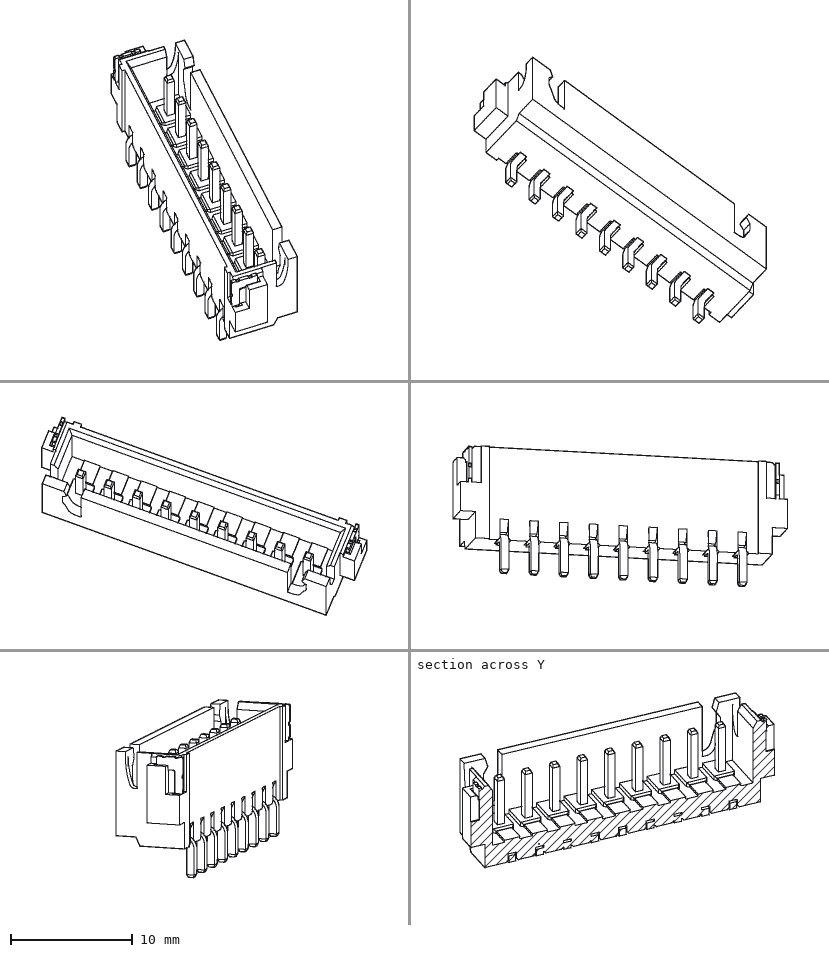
import cadquery as cq


LENGTH = 27.5
HALF_LENGTH = LENGTH / 2
TOTAL_HEIGHT = 10.6
HEIGHT = 7.8
DEPTH = 6.0

HALF_BODY = 12.48
BODY_FRONT = 0.25
FRONT_INNER = 1.0
BACK_INNER = 5.17
HALF_CAVITY = 11.8
FLOOR_Z = 2.0
RIM_SIDE = 0.35
RIM_FRONT = 0.3
RIM_DEPTH = 0.58
BACK_UNDERSIDE_Z = 0.75
UNDERSIDE_SLOPE_START = 3.9
UNDERSIDE_SLOPE_END = 4.25
END_PLATE_INNER_X = 11.33

PAD_WIDTH = 1.87
PAD_FRONT = 2.92
PAD_HEIGHT = 0.38
RIB_WIDTH = 1.4
PAD_CORNER_CHAMFER = 0.2
PAD_EDGE_CHAMFER = 0.16
RIB_HEIGHT = 0.2

EAR_BOTTOM = 2.23
EAR_TOP = 7.05
EAR_BACK = 2.83
EAR_STEP_Y = 1.25
EAR_STEP_Z = 4.7
BLOCK_X = 12.75
BLOCK_CHAMFER = 0.25
PLATE_RECESS_X = 12.0

TAB_INNER_X = 12.8
TAB_OUTER_X = 13.05
TAB_BACK = 2.25
TAB_TOP = 7.73
TAB_LEG = 0.72
TAB_WINDOW_DEPTH = 0.08
TAB_WINDOW_TOP = 6.63
TAB_WINDOW_RADIUS = 0.16
TAB_PROUD = 0.05
TAB_BEVEL = 0.08
TAB_LIP_BOTTOM = 5.0
TAB_DENT_MOUTH = 0.33
TAB_DENT_FLOOR = 0.16
TAB_DENT_DEPTH = 0.08
TAB_TOP_DENTS = (0.52, 1.62)
TAB_FRONT_DENT_Z = 6.13
LEAD_IN = 0.16

PIN_COUNT = 9
PITCH = 2.5
PIN = 0.65
POST_Y = 3.65
POST_TOP = 6.8
TAIL_BOTTOM = HEIGHT - TOTAL_HEIGHT
TIP_INSET = 0.1
TIP_LENGTH = 0.25
PIN_PROUD = 0.05
LEG_BACK = 1.85
BEND_OUTER_RADIUS = 1.02
BEND_INNER_RADIUS = 0.16

NOTCH_WIDTH = 0.72
NOTCH_TOP = 1.75
NOTCH_ROOF = 0.77
NOTCH_ROOF_RUN = 0.5
NOTCH_BACK = 1.57
NOTCH_FLARE = 0.2

END_SLOT_FRONT = 4.15
END_SLOT_BOTTOM = 4.78
END_SLOT_CURVE_TOP = 7.32
END_SLOT_CORNER = (4.78, 5.1)
END_SLOT_CORNER_MIDDLE = (4.6, 4.87)
END_SLOT_FLAT_BACK = 4.32

LATCH_INNER_X = 9.08
LATCH_BOTTOM = 3.02
LATCH_FLAT_OUTER_X = 9.4
LATCH_POST_X = 10.6
LATCH_HOOK_X = 10.35
LATCH_HOOK_Z = 6.95
LATCH_NECK_X = 10.72
LATCH_NECK_TOP = 6.35
LATCH_NECK_BOTTOM = 5.42
LATCH_NECK_CURVE_MIDDLE = (-10.67, 5.03)
LATCH_ROOT_TOP = (-10.5, 4.68)
LATCH_ROOT_BOTTOM = (-10.23, 3.75)


def box(x0, x1, y0, y1, z0, z1):
    """Box between two opposite corners."""
    return cq.Workplane("XY").box(x1 - x0, y1 - y0, z1 - z0, centered=False).translate((x0, y0, z0))


def both_ends(shape):
    """The -X shape together with its mirror image at the +X end."""
    return shape.union(shape.mirror("YZ"))


def make_housing():
    """Open-topped shroud with a stepped underside and a chamfered rim."""
    shell = (
        cq.Workplane("YZ", origin=(-HALF_BODY, 0, 0))
        .moveTo(BODY_FRONT, 0)
        .lineTo(UNDERSIDE_SLOPE_START, 0)
        .lineTo(UNDERSIDE_SLOPE_END, BACK_UNDERSIDE_Z)
        .lineTo(DEPTH, BACK_UNDERSIDE_Z)
        .lineTo(DEPTH, HEIGHT)
        .lineTo(BODY_FRONT, HEIGHT)
        .close()
        .extrude(2 * HALF_BODY)
    )
    cavity = box(-HALF_CAVITY, HALF_CAVITY, FRONT_INNER, BACK_INNER, FLOOR_Z, HEIGHT)
    cavity_length = BACK_INNER - FRONT_INNER
    rim = (
        cq.Workplane("XY", origin=(0, BACK_INNER, HEIGHT))
        .rect(2 * (HALF_CAVITY + RIM_SIDE), 2 * (cavity_length + RIM_FRONT))
        .workplane(offset=-RIM_DEPTH)
        .rect(2 * HALF_CAVITY, 2 * cavity_length)
        .loft(ruled=True)
        .intersect(box(-HALF_BODY, HALF_BODY, 0, BACK_INNER, 0, HEIGHT))
    )
    return shell.cut(cavity).cut(rim)


def make_floor_pad(x):
    """Raised pad around one pin, with a narrower rib running to the front wall."""
    half_pad = PAD_WIDTH / 2
    half_rib = RIB_WIDTH / 2
    front = PAD_FRONT - PAD_CORNER_CHAMFER
    pad = (
        box(x - half_pad, x + half_pad, front, BACK_INNER, FLOOR_Z, FLOOR_Z + PAD_HEIGHT)
        .edges("|Z and <Y")
        .chamfer(PAD_CORNER_CHAMFER)
        .faces(">Z")
        .edges("<Y")
        .chamfer(PAD_EDGE_CHAMFER)
    )
    rib = box(x - half_rib, x + half_rib, FRONT_INNER, PAD_FRONT, FLOOR_Z, FLOOR_Z + RIB_HEIGHT)
    return pad.union(rib)


def make_end_slot():
    """Slot through an end wall, beside the back wall, with a curved lower corner."""
    return (
        cq.Workplane("YZ", origin=(-HALF_BODY, 0, 0))
        .moveTo(END_SLOT_FRONT, HEIGHT)
        .lineTo(BACK_INNER, HEIGHT)
        .lineTo(BACK_INNER, END_SLOT_CURVE_TOP)
        .tangentArcPoint(END_SLOT_CORNER, relative=False)
        .threePointArc(END_SLOT_CORNER_MIDDLE, (END_SLOT_FLAT_BACK, END_SLOT_BOTTOM))
        .lineTo(END_SLOT_FRONT, END_SLOT_BOTTOM)
        .close()
        .extrude(HALF_BODY - HALF_CAVITY)
    )


def make_latch_slot():
    """Slot through the back wall that leaves a hooked post at the end."""
    return (
        cq.Workplane("XZ", origin=(0, DEPTH, 0))
        .moveTo(-LATCH_INNER_X, HEIGHT)
        .lineTo(-LATCH_INNER_X, LATCH_BOTTOM)
        .lineTo(-LATCH_FLAT_OUTER_X, LATCH_BOTTOM)
        .tangentArcPoint(LATCH_ROOT_BOTTOM, relative=False)
        .lineTo(*LATCH_ROOT_TOP)
        .threePointArc(LATCH_NECK_CURVE_MIDDLE, (-LATCH_NECK_X, LATCH_NECK_BOTTOM))
        .lineTo(-LATCH_NECK_X, LATCH_NECK_TOP)
        .lineTo(-LATCH_HOOK_X, LATCH_HOOK_Z)
        .lineTo(-LATCH_POST_X, HEIGHT)
        .close()
        .extrude(DEPTH - BACK_INNER)
    )


def make_lead_in(y_front, y_back, z_top):
    """Sloped mouth around the outer and rear sides of the tab where it enters the ear."""
    width = TAB_OUTER_X - TAB_INNER_X
    length = y_back - y_front
    return (
        cq.Workplane("XY", origin=(-TAB_INNER_X, y_front, z_top))
        .rect(-width - LEAD_IN, length + LEAD_IN, centered=False)
        .workplane(offset=-LEAD_IN)
        .rect(-width, length, centered=False)
        .loft(ruled=True)
    )


def make_end_plate_and_ear():
    """Thicker front plate, stepped ear and chamfered block at one end."""
    plate = box(-HALF_BODY, -END_PLATE_INNER_X, 0, BODY_FRONT, 0, HEIGHT)
    ear = box(-HALF_LENGTH, -HALF_BODY, 0, EAR_BACK, EAR_BOTTOM, EAR_TOP)
    ear_step = box(-HALF_LENGTH, -BLOCK_X, 0, EAR_STEP_Y, EAR_STEP_Z, EAR_TOP)
    plate_recess = box(-HALF_LENGTH, -PLATE_RECESS_X, 0, BODY_FRONT, EAR_STEP_Z, HEIGHT)
    block = (
        box(-BLOCK_X, -HALF_BODY, BODY_FRONT, EAR_BACK, EAR_BOTTOM, HEIGHT)
        .faces(">Z")
        .edges("<X")
        .chamfer(BLOCK_CHAMFER)
    )
    solid = plate.union(ear).cut(ear_step).cut(plate_recess)
    solid = solid.cut(make_lead_in(EAR_STEP_Y, TAB_BACK, EAR_TOP))
    solid = solid.cut(make_lead_in(BODY_FRONT, TAB_LEG - TAB_PROUD, EAR_STEP_Z))
    return solid.union(block)


def make_tab_dent():
    """Tapered dent across the tab thickness, centred on Y=0 and opening upward at Z=0."""
    return (
        cq.Workplane("YZ", origin=(-TAB_OUTER_X, 0, 0))
        .moveTo(-TAB_DENT_MOUTH / 2, 0)
        .lineTo(TAB_DENT_MOUTH / 2, 0)
        .lineTo(TAB_DENT_FLOOR / 2, -TAB_DENT_DEPTH)
        .lineTo(-TAB_DENT_FLOOR / 2, -TAB_DENT_DEPTH)
        .close()
        .extrude(TAB_OUTER_X - TAB_INNER_X)
    )


def make_tab():
    """Sheet-metal tab: one leg on the ear step, the rear sunk in the ear, dents along its edges."""
    tab = (
        box(-TAB_OUTER_X, -TAB_INNER_X, -TAB_PROUD, TAB_BACK, EAR_STEP_Z, TAB_TOP)
        .faces(">Z")
        .edges("|X")
        .chamfer(TAB_BEVEL)
    )
    window_floor_x = TAB_WINDOW_DEPTH - TAB_OUTER_X
    window = (
        box(-TAB_OUTER_X, window_floor_x, TAB_LEG - TAB_PROUD, EAR_STEP_Y, EAR_STEP_Z, TAB_WINDOW_TOP)
        .edges("|X and >Z and <Y")
        .fillet(TAB_WINDOW_RADIUS)
    )
    below_lip = box(-TAB_OUTER_X, -TAB_INNER_X, -TAB_PROUD, 0, EAR_STEP_Z, TAB_LIP_BOTTOM)
    tab = tab.cut(window).cut(below_lip)
    for dent_y in TAB_TOP_DENTS:
        tab = tab.cut(make_tab_dent().translate((0, dent_y, TAB_TOP)))
    front_dent = make_tab_dent().rotate((0, 0, 0), (1, 0, 0), 90)
    return tab.cut(front_dent.translate((0, -TAB_PROUD, TAB_FRONT_DENT_Z)))


def make_pin_notch(x):
    """Notch in the front wall around one pin: sloped roof and flared lower mouth."""
    notch = (
        cq.Workplane("YZ", origin=(x - NOTCH_WIDTH / 2, 0, 0))
        .moveTo(BODY_FRONT, 0)
        .lineTo(BODY_FRONT, NOTCH_TOP)
        .lineTo(BODY_FRONT + NOTCH_ROOF_RUN, NOTCH_ROOF)
        .lineTo(NOTCH_BACK, NOTCH_ROOF)
        .lineTo(NOTCH_BACK, 0)
        .close()
        .extrude(NOTCH_WIDTH)
    )
    half_width = NOTCH_WIDTH / 2
    flare = (
        cq.Workplane("XZ", origin=(x, NOTCH_BACK, 0))
        .moveTo(-half_width - NOTCH_FLARE, 0)
        .lineTo(-half_width, NOTCH_FLARE)
        .lineTo(half_width, NOTCH_FLARE)
        .lineTo(half_width + NOTCH_FLARE, 0)
        .close()
        .extrude(NOTCH_BACK - BODY_FRONT)
    )
    return notch.union(flare)


def make_tip(x, y, z_base, direction):
    """Tapered square tip pointing up (direction 1) or down (direction -1)."""
    return (
        cq.Workplane("XY", origin=(x, y, z_base))
        .rect(PIN, PIN)
        .workplane(offset=direction * TIP_LENGTH)
        .rect(PIN - 2 * TIP_INSET, PIN - 2 * TIP_INSET)
        .loft(ruled=True)
    )


def make_pin(x):
    """Contact post in the cavity and the bent solder tail leaving through the front wall."""
    post_shoulder = POST_TOP - TIP_LENGTH
    tail_shoulder = TAIL_BOTTOM + TIP_LENGTH
    post = box(
        x - PIN / 2, x + PIN / 2,
        POST_Y - PIN / 2, POST_Y + PIN / 2,
        FLOOR_Z - PIN, post_shoulder,
    )
    front = -PIN_PROUD
    leg_bottom = -PIN_PROUD
    leg_top = leg_bottom + PIN
    tail_back = front + PIN
    tail = (
        cq.Workplane("YZ", origin=(x - PIN / 2, 0, 0))
        .moveTo(front, tail_shoulder)
        .lineTo(front, leg_top - BEND_OUTER_RADIUS)
        .radiusArc((front + BEND_OUTER_RADIUS, leg_top), BEND_OUTER_RADIUS)
        .lineTo(LEG_BACK, leg_top)
        .lineTo(LEG_BACK, leg_bottom)
        .lineTo(tail_back + BEND_INNER_RADIUS, leg_bottom)
        .radiusArc((tail_back, leg_bottom - BEND_INNER_RADIUS), -BEND_INNER_RADIUS)
        .lineTo(tail_back, tail_shoulder)
        .close()
        .extrude(PIN)
    )
    tail_tip = make_tip(x, front + PIN / 2, tail_shoulder, -1)
    return post.union(make_tip(x, POST_Y, post_shoulder, 1)).union(tail).union(tail_tip)


pin_positions = [(index - (PIN_COUNT - 1) / 2) * PITCH for index in range(PIN_COUNT)]

result = make_housing().cut(both_ends(make_end_slot())).cut(both_ends(make_latch_slot()))
result = result.union(both_ends(make_end_plate_and_ear())).union(both_ends(make_tab()))
for pin_x in pin_positions:
    result = result.union(make_floor_pad(pin_x)).cut(make_pin_notch(pin_x)).union(make_pin(pin_x))